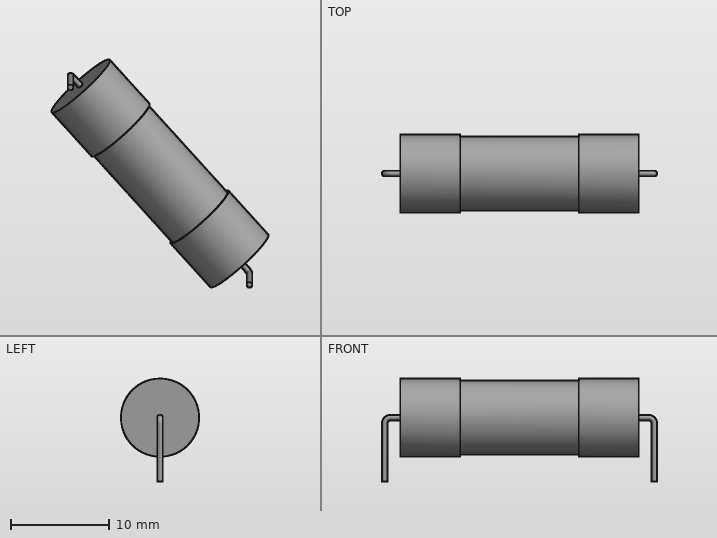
import cadquery as cq

overall_length = 28.05
body_length = 24.32
cap_diameter = 8.0
cap_length = 6.11
tube_diameter = 7.6
lead_diameter = 0.6
lead_bend_radius = 0.6
overall_height = 10.52

tube_length = body_length - 2 * cap_length
lead_x = (overall_length - lead_diameter) / 2
lead_bottom = cap_diameter / 2 - overall_height


def make_tube():
    """Solid cylinder that fills the space between the caps."""
    return (
        cq.Workplane("YZ", origin=(-tube_length / 2, 0, 0))
        .circle(tube_diameter / 2)
        .extrude(tube_length)
    )


def make_lead():
    """Wire that leaves the +X cap face along its axis and bends down."""
    cap_face_x = body_length / 2
    bend_start_x = lead_x - lead_bend_radius
    path = (
        cq.Workplane("XZ")
        .moveTo(cap_face_x, 0)
        .lineTo(bend_start_x, 0)
        .tangentArcPoint((lead_x, -lead_bend_radius), relative=False)
        .lineTo(lead_x, lead_bottom)
    )
    return (
        cq.Workplane("YZ", origin=(cap_face_x, 0, 0))
        .circle(lead_diameter / 2)
        .sweep(path)
    )


def make_end_cap(side):
    """One metal end, cap and lead in one piece; side is +1 or -1 along X."""
    cap = (
        cq.Workplane("YZ", origin=(tube_length / 2, 0, 0))
        .circle(cap_diameter / 2)
        .extrude(cap_length)
    )
    end_cap = cap.union(make_lead())
    if side < 0:
        end_cap = end_cap.mirror("YZ")
    return end_cap


tube = make_tube()
end_caps = [make_end_cap(side).val() for side in (-1, 1)]
end_cap_solids = [solid for end_cap in end_caps for solid in end_cap.Solids()]

result = cq.Compound.makeCompound([tube.val(), *end_cap_solids])